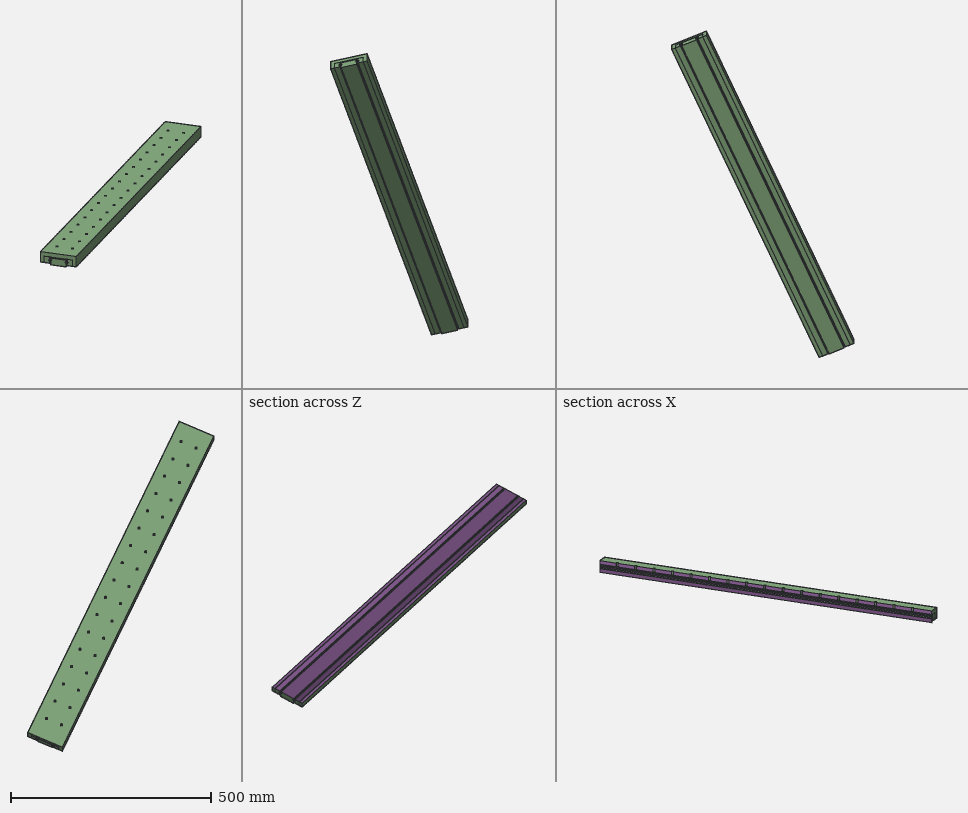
import cadquery as cq

length = 914.0
width = 95.0
height = 32.0

table_drop = 28.0
web_thickness = 11.0
leg_thickness = 10.0
table_setback = 0.5

rail_width = 41.0
rail_clearance = 3.0
strip_gap = 3.0
groove_depth = 3.0

hole_diameter = 5.0
hole_rows = 17
first_row_y = 48.0
hole_span = 813.0
hole_column_spacing = 41.0

table_bottom = height - table_drop
web_bottom = height - web_thickness
channel_half_width = width / 2 - leg_thickness
groove_level = (table_bottom + web_bottom) / 2
rail_half_width = rail_width / 2
rail_top = web_bottom - rail_clearance
strip_inner_x = rail_half_width + strip_gap
table_length = length - table_setback
hole_pitch = hole_span / (hole_rows - 1)
hole_center_y = first_row_y + hole_span / 2


def extrude_along_y(points, start, distance):
    """Extrude an XZ outline in the +Y direction from Y = start."""
    outline = cq.Workplane("XZ", origin=(0, start, 0)).polyline(points).close()
    return outline.extrude(-distance)


def make_table():
    """Channel open downwards, with two columns of holes through its web."""
    outer = width / 2
    inner = channel_half_width
    table = extrude_along_y(
        [
            (-outer, table_bottom),
            (-outer, height),
            (outer, height),
            (outer, table_bottom),
            (inner, table_bottom),
            (inner, web_bottom),
            (-inner, web_bottom),
            (-inner, table_bottom),
        ],
        table_setback,
        table_length,
    )
    holes = (
        cq.Workplane("XY", origin=(0, hole_center_y, web_bottom))
        .rarray(hole_column_spacing, hole_pitch, 2, hole_rows)
        .circle(hole_diameter / 2)
        .extrude(web_thickness)
    )
    return table.cut(holes)


def make_rail():
    """Centre rail with a V-groove along each side."""
    side = rail_half_width
    groove_bottom = side - groove_depth
    return extrude_along_y(
        [
            (-side, 0),
            (-side, groove_level - groove_depth),
            (-groove_bottom, groove_level),
            (-side, groove_level + groove_depth),
            (-side, rail_top),
            (side, rail_top),
            (side, groove_level + groove_depth),
            (groove_bottom, groove_level),
            (side, groove_level - groove_depth),
            (side, 0),
        ],
        0,
        length,
    )


def make_strip(side):
    """Strip in a corner of the channel, grooved towards the rail; side is -1 or 1 along X."""
    inner = side * strip_inner_x
    outer = side * channel_half_width
    groove_bottom = side * (strip_inner_x + groove_depth)
    return extrude_along_y(
        [
            (outer, table_bottom),
            (outer, web_bottom),
            (inner, web_bottom),
            (inner, groove_level + groove_depth),
            (groove_bottom, groove_level),
            (inner, groove_level - groove_depth),
            (inner, table_bottom),
        ],
        table_setback,
        table_length,
    )


table = make_table()
rail = make_rail()
strips = [make_strip(side) for side in (-1, 1)]

result = cq.Compound.makeCompound([table.val(), rail.val(), *[strip.val() for strip in strips]])